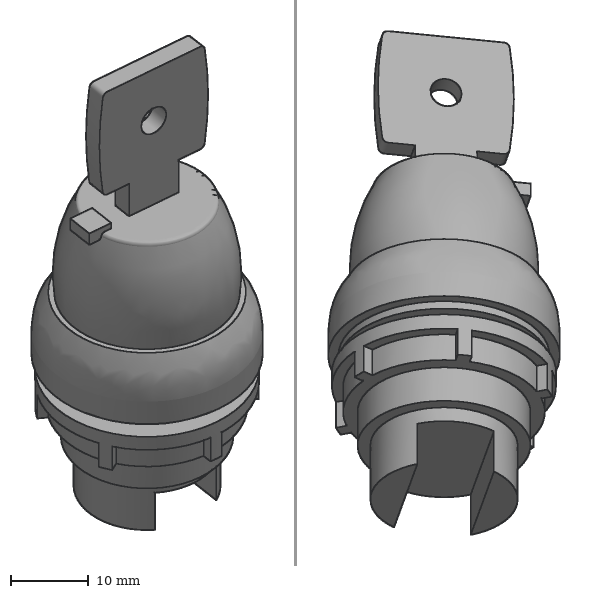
import cadquery as cq

total_height = 68.9
bezel_radius = 14.95

leg_radius = 9.5
slot_width = 10.05
slot_top = 6.05
barrel_radius = 11.15
barrel_bottom = 8.1

seat_radius = 13.65
seat_bottom = 20.5
bezel_bottom = 21.65
band_top = 25.3
shoulder_top = 31.55
shoulder_radius = 12.75

knob_base_radius = 12.0
knob_mid_radius = 11.5
knob_mid_height = 40.45
knob_edge_radius = 9.3
knob_edge_height = 46.2
knob_face_radius = 8.6
knob_top = 46.8

lug_width = 4.0
lug_front = -11.0
lug_back = -7.45
lug_bottom = 45.8
lug_top = 47.7

key_thickness = 2.8
stem_width = 8.1
head_bottom = 52.1
head_end_width = 16.55
head_mid_width = 17.85
head_corner_radius = 0.8
key_hole_diameter = 4.05
head_middle = (head_bottom + total_height) / 2

ring_radius = 14.5
ring_recess_radius = 13.0
ring_bottom = 13.15
ring_flange_bottom = 17.0
ring_top = 19.15
tab_count = 6
tab_width = 1.85


def disc(radius, bottom, top):
    return cq.Workplane("XY").workplane(offset=bottom).circle(radius).extrude(top - bottom)


def make_turned_body():
    """Barrel, bezel and knob turned about the Z axis."""
    rise = shoulder_top - band_top
    inset = bezel_radius - shoulder_radius
    arc_radius = (rise**2 + inset**2) / (2 * inset)
    arc_centre = bezel_radius - arc_radius
    shoulder_mid_height = band_top + rise / 2
    shoulder_mid_radius = arc_centre + (arc_radius**2 - (rise / 2) ** 2) ** 0.5

    edge_width = knob_edge_radius - knob_face_radius
    edge_height = knob_top - knob_edge_height
    diagonal = 0.5**0.5
    edge_mid = (knob_face_radius + edge_width * diagonal, knob_edge_height + edge_height * diagonal)

    profile = (
        cq.Workplane("XZ")
        .moveTo(0, 0)
        .lineTo(leg_radius, 0)
        .lineTo(leg_radius, barrel_bottom)
        .lineTo(barrel_radius, barrel_bottom)
        .lineTo(barrel_radius, seat_bottom)
        .lineTo(seat_radius, seat_bottom)
        .lineTo(seat_radius, bezel_bottom)
        .lineTo(bezel_radius, bezel_bottom)
        .lineTo(bezel_radius, band_top)
        .threePointArc((shoulder_mid_radius, shoulder_mid_height), (shoulder_radius, shoulder_top))
        .lineTo(knob_base_radius, shoulder_top)
        .threePointArc((knob_mid_radius, knob_mid_height), (knob_edge_radius, knob_edge_height))
        .threePointArc(edge_mid, (knob_face_radius, knob_top))
        .lineTo(0, knob_top)
        .close()
    )
    return profile.revolve(360, (0, 0, 0), (0, 1, 0))


def make_leg_slot():
    return cq.Workplane("XY").box(2 * leg_radius, slot_width, slot_top, centered=(True, True, False))


def make_lug():
    return (
        cq.Workplane("XY")
        .box(lug_width, lug_back - lug_front, lug_top - lug_bottom, centered=(True, False, False))
        .translate((0, lug_front, lug_bottom))
    )


def make_key():
    """Flat key with a bowed head, rising from the knob face."""
    half_end = head_end_width / 2
    half_mid = head_mid_width / 2
    head = (
        cq.Workplane("YZ")
        .moveTo(-half_end, head_bottom)
        .lineTo(half_end, head_bottom)
        .threePointArc((half_mid, head_middle), (half_end, total_height))
        .lineTo(-half_end, total_height)
        .threePointArc((-half_mid, head_middle), (-half_end, head_bottom))
        .close()
        .extrude(key_thickness / 2, both=True)
        .edges("|X")
        .fillet(head_corner_radius)
    )
    stem = (
        cq.Workplane("XY")
        .box(key_thickness, stem_width, head_middle - knob_top, centered=(True, True, False))
        .translate((0, 0, knob_top))
    )
    hole = (
        cq.Workplane("YZ")
        .center(0, head_middle)
        .circle(key_hole_diameter / 2)
        .extrude(key_thickness, both=True)
    )
    return head.union(stem).cut(hole)


def make_switch_head():
    return make_turned_body().cut(make_leg_slot()).union(make_lug()).union(make_key())


def make_mounting_ring():
    """Flanged ring on the barrel, with evenly spaced tabs below the flange."""
    ring = disc(ring_radius, ring_flange_bottom, ring_top)
    ring = ring.union(disc(ring_recess_radius, ring_bottom, ring_flange_bottom))
    tab_height = ring_flange_bottom - ring_bottom
    tab_limit = disc(ring_radius, ring_bottom, ring_flange_bottom)
    for index in range(tab_count):
        tab = (
            cq.Workplane("XY")
            .box(ring_radius, tab_width, tab_height, centered=(False, True, False))
            .translate((0, 0, ring_bottom))
            .rotate((0, 0, 0), (0, 0, 1), index * 360 / tab_count)
        )
        ring = ring.union(tab.intersect(tab_limit))
    return ring.cut(disc(barrel_radius, ring_bottom, ring_top))


switch_head = make_switch_head()
mounting_ring = make_mounting_ring()

result = cq.Compound.makeCompound([switch_head.solids().val(), mounting_ring.solids().val()])